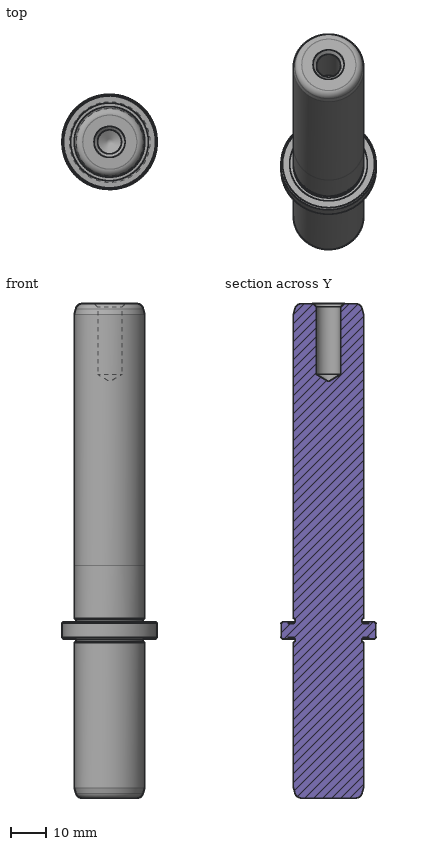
import cadquery as cq
import math

LENGTH = 140.0
SHAFT_RADIUS = 20.0 / 2
FIT_BOUNDARY_Z = 66.0

LEAD_IN_LENGTH = 3.0
LEAD_IN_ANGLE = math.radians(15)
TIP_RADIUS = 2.0

COLLAR_RADIUS = 27.0 / 2
COLLAR_BOTTOM_Z = 45.0
COLLAR_THICKNESS = 5.0
COLLAR_TOP_Z = COLLAR_BOTTOM_Z + COLLAR_THICKNESS
COLLAR_CHAMFER = 0.5

RELIEF_REACH = 1.0
RELIEF_DEPTH = 0.5
RELIEF_OVERHANG = 0.4

HOLE_RADIUS = 6.8 / 2
HOLE_DEPTH = 20.0
DRILL_POINT_HALF_ANGLE = math.radians(59)
COUNTERSINK = 1.0


def lead_in_end(z_face, inward):
    """Return the (radius, z) points of one shaft end, from the flat face to the cylinder.

    inward is +1 or -1, the Z direction from the face into the shaft.
    The second point lies on the tip arc.
    """
    cone_tip = SHAFT_RADIUS - LEAD_IN_LENGTH * math.tan(LEAD_IN_ANGLE)
    turn = math.pi / 2 - LEAD_IN_ANGLE
    face_edge = cone_tip - TIP_RADIUS * math.tan(turn / 2)

    def on_tip_arc(angle):
        radius = face_edge + TIP_RADIUS * math.sin(angle)
        depth = TIP_RADIUS * (1 - math.cos(angle))
        return radius, z_face + inward * depth

    return [
        on_tip_arc(0),
        on_tip_arc(turn / 2),
        on_tip_arc(turn),
        (SHAFT_RADIUS, z_face + inward * LEAD_IN_LENGTH),
    ]


def relief(z_face, outward):
    """Return the (radius, z) points of one undercut, from the shaft to the collar face.

    outward is +1 or -1, the Z direction from the collar face away from the collar.
    """
    neck_radius = SHAFT_RADIUS - RELIEF_DEPTH
    mouth_radius = SHAFT_RADIUS + RELIEF_REACH
    floor_z = z_face - outward * RELIEF_DEPTH
    return [
        (SHAFT_RADIUS, z_face + outward * RELIEF_REACH),
        (neck_radius, z_face + outward * (RELIEF_REACH - RELIEF_DEPTH)),
        (neck_radius, z_face),
        (SHAFT_RADIUS, floor_z),
        (mouth_radius + RELIEF_OVERHANG, floor_z),
        (mouth_radius, z_face),
    ]


def collar_rim():
    """Return the (radius, z) points of the chamfered collar rim, from bottom to top."""
    chamfer_radius = COLLAR_RADIUS - COLLAR_CHAMFER
    return [
        (chamfer_radius, COLLAR_BOTTOM_Z),
        (COLLAR_RADIUS, COLLAR_BOTTOM_Z + COLLAR_CHAMFER),
        (COLLAR_RADIUS, COLLAR_TOP_Z - COLLAR_CHAMFER),
        (chamfer_radius, COLLAR_TOP_Z),
    ]


def hole():
    """Return the (radius, z) points of the countersunk blind hole, from top to drill point."""
    drill_point = HOLE_RADIUS / math.tan(DRILL_POINT_HALF_ANGLE)
    return [
        (HOLE_RADIUS + COUNTERSINK, LENGTH),
        (HOLE_RADIUS, LENGTH - COUNTERSINK),
        (HOLE_RADIUS, LENGTH - HOLE_DEPTH),
        (0, LENGTH - HOLE_DEPTH - drill_point),
    ]


def add_lines(outline, points):
    """Extend the outline with straight segments through (radius, z) points on the -X side."""
    for radius, z in points:
        outline = outline.lineTo(-radius, z)
    return outline


def add_arc(outline, middle, end):
    """Extend the outline with an arc given by (radius, z) points on the -X side."""
    return outline.threePointArc((-middle[0], middle[1]), (-end[0], end[1]))


def build_pin():
    """Revolve the half section of the pin about the Z axis.

    The faces are not merged, so the fit boundary stays as an edge on the shaft.
    """
    bottom_face, bottom_arc, bottom_cone, bottom_shaft = lead_in_end(0, 1)
    top_face, top_arc, top_cone, top_shaft = lead_in_end(LENGTH, -1)
    lower_relief = relief(COLLAR_BOTTOM_Z, -1)
    upper_relief = relief(COLLAR_TOP_Z, 1)[::-1]

    outline = cq.Workplane("XZ").moveTo(0, 0)
    outline = add_lines(outline, [bottom_face])
    outline = add_arc(outline, bottom_arc, bottom_cone)
    outline = add_lines(outline, [bottom_shaft] + lower_relief + collar_rim() + upper_relief)
    outline = add_lines(outline, [(SHAFT_RADIUS, FIT_BOUNDARY_Z), top_shaft, top_cone])
    outline = add_arc(outline, top_arc, top_face)
    outline = add_lines(outline, hole())
    return outline.close().revolve(360, (0, 0, 0), (0, 1, 0), clean=False)


result = build_pin()